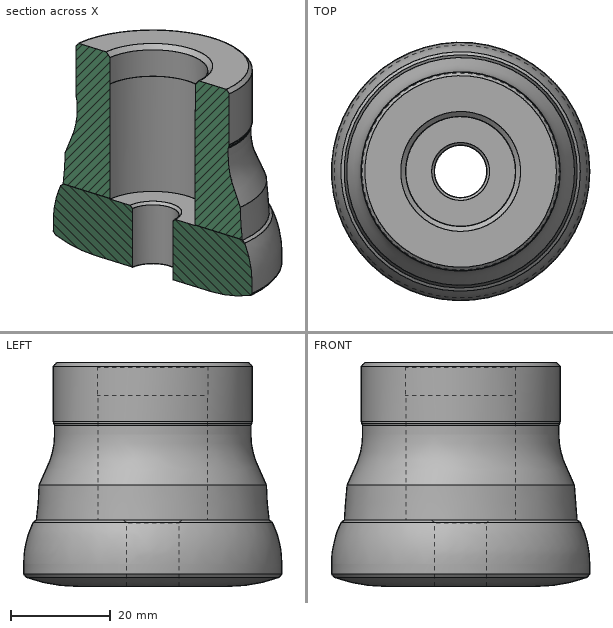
import cadquery as cq
import math

TOTAL_HEIGHT = 45.0
JOINT_HEIGHT = 13.35
TAPER_TOP = 20.35
FLARE_STRAIGHT_TOP = 23.65
NECK_BOTTOM = 30.45
NECK_TOP = 32.35
COLLAR_BOTTOM = 33.1

COLLAR_RADIUS = 40.0 / 2
NECK_RADIUS = 39.5 / 2
FLARE_RADIUS = 21.4
SKIRT_RADIUS = 22.8
SKIRT_EDGE_BREAK = 0.15
TAPER_BOTTOM_RADIUS = 23.4
COLLAR_CHAMFER = 0.8
COLLAR_LOWER_LIP = 0.4
LIP_RECESS = 0.1

BORE_RADIUS = 22.0 / 2
ENTRY_RADIUS = 22.1 / 2
ENTRY_DEPTH = 6.7
BORE_MOUTH_CHAMFER = 1.0

FOOT_RADIUS = 25.95
SHOULDER_RADIUS = 24.05
SHOULDER_HEIGHT = 12.85
RIM_TOP = 4.5
RIM_BOTTOM = 2.5
DOME_EDGE_RADIUS = 25.4
DOME_HEIGHT = 1.8
DOME_FLAT_RADIUS = 15.05
HOLE_RADIUS = 10.5 / 2
HOLE_CHAMFER = 0.55


def tangent_arc_middle(tangent_end, free_end, vertical_tangent):
    """Middle point of an arc that is axis-parallel at tangent_end."""
    run = free_end[0] - tangent_end[0]
    rise = free_end[1] - tangent_end[1]
    along, across = (rise, run) if vertical_tangent else (run, rise)
    radius = (along**2 + across**2) / (2 * abs(across))
    half_sweep = math.asin(abs(along) / radius) / 2
    along_step = math.copysign(radius * math.sin(half_sweep), along)
    across_step = math.copysign(radius * (1 - math.cos(half_sweep)), across)
    step = (across_step, along_step) if vertical_tangent else (along_step, across_step)
    return (tangent_end[0] + step[0], tangent_end[1] + step[1])


def make_sleeve():
    """Collar, neck, concave flare and tapered grip around a stepped bore."""
    lip_radius = COLLAR_RADIUS - LIP_RECESS
    neck_bottom = (NECK_RADIUS, NECK_BOTTOM)
    flare_end = (FLARE_RADIUS, FLARE_STRAIGHT_TOP)
    return (
        cq.Workplane("XZ")
        .moveTo(BORE_RADIUS, JOINT_HEIGHT)
        .lineTo(TAPER_BOTTOM_RADIUS, JOINT_HEIGHT)
        .lineTo(SKIRT_RADIUS + SKIRT_EDGE_BREAK / 2, TAPER_TOP)
        .lineTo(SKIRT_RADIUS, TAPER_TOP + SKIRT_EDGE_BREAK)
        .lineTo(*flare_end)
        .threePointArc(tangent_arc_middle(neck_bottom, flare_end, True), neck_bottom)
        .lineTo(NECK_RADIUS, NECK_TOP)
        .lineTo(lip_radius, COLLAR_BOTTOM - COLLAR_LOWER_LIP)
        .lineTo(lip_radius, COLLAR_BOTTOM)
        .lineTo(COLLAR_RADIUS, COLLAR_BOTTOM)
        .lineTo(COLLAR_RADIUS, TOTAL_HEIGHT - COLLAR_CHAMFER)
        .lineTo(COLLAR_RADIUS - COLLAR_CHAMFER, TOTAL_HEIGHT)
        .lineTo(ENTRY_RADIUS + BORE_MOUTH_CHAMFER, TOTAL_HEIGHT)
        .lineTo(ENTRY_RADIUS, TOTAL_HEIGHT - BORE_MOUTH_CHAMFER)
        .lineTo(ENTRY_RADIUS, TOTAL_HEIGHT - ENTRY_DEPTH)
        .lineTo(BORE_RADIUS, TOTAL_HEIGHT - ENTRY_DEPTH)
        .close()
        .revolve(360, (0, 0, 0), (0, 1, 0))
    )


def make_foot():
    """Bulged base with a domed underside and a chamfered centre hole."""
    dome_start = (DOME_FLAT_RADIUS, 0)
    dome_end = (DOME_EDGE_RADIUS, DOME_HEIGHT)
    rim_top = (FOOT_RADIUS, RIM_TOP)
    shoulder = (SHOULDER_RADIUS, SHOULDER_HEIGHT)
    return (
        cq.Workplane("XZ")
        .moveTo(HOLE_RADIUS, 0)
        .lineTo(*dome_start)
        .threePointArc(tangent_arc_middle(dome_start, dome_end, False), dome_end)
        .lineTo(FOOT_RADIUS, RIM_BOTTOM)
        .lineTo(*rim_top)
        .threePointArc(tangent_arc_middle(rim_top, shoulder, True), shoulder)
        .lineTo(TAPER_BOTTOM_RADIUS, JOINT_HEIGHT)
        .lineTo(HOLE_RADIUS + HOLE_CHAMFER, JOINT_HEIGHT)
        .lineTo(HOLE_RADIUS, JOINT_HEIGHT - HOLE_CHAMFER)
        .close()
        .revolve(360, (0, 0, 0), (0, 1, 0))
    )


sleeve = make_sleeve()
foot = make_foot()
result = cq.Compound.makeCompound([sleeve.val(), foot.val()])